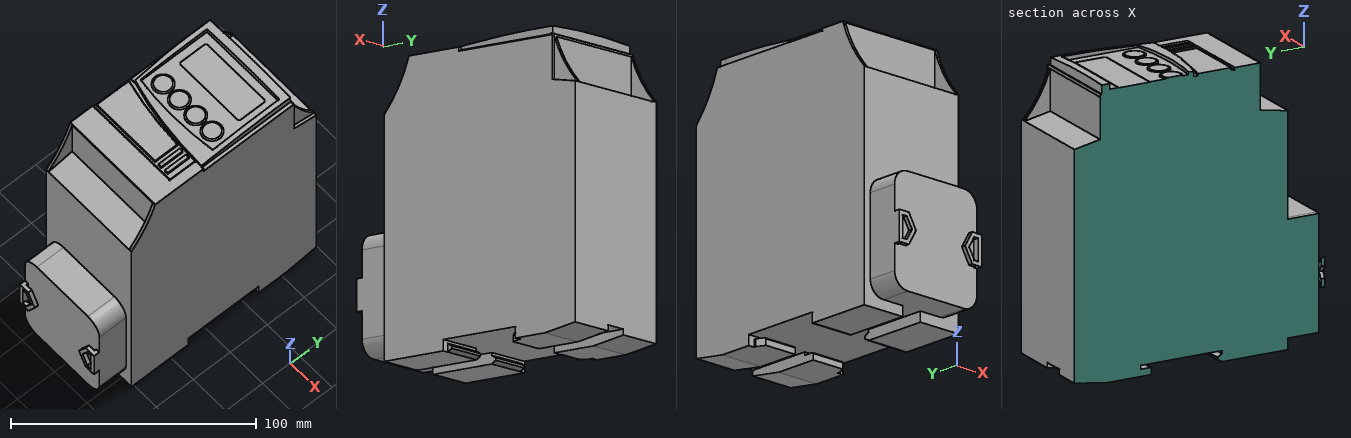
import cadquery as cq
import math

width = 52.7
depth = 100.0
total_height = 129.0
deck_height = 125.7
ledge_height = 124.7
shoulder_height = 103.1
half_width = width / 2
front_deck_y = 12.9
rear_deck_y = 87.6
bevel_drop = 0.8
flank_sag = (1.2, 0.6)
heel_length = 15.7
heel_rise = 2.3

pocket_wall = 1.4
rear_right_wall = 1.4
shelf_front_height = 103.0
shelf_back_height = 105.3
front_pocket_y = 12.8
rear_pocket_y = 88.0

notch_front_y = 31.0
notch_rear_y = 68.8
notch_depth = 4.8
channel_width = 10.0
hook_inset = 3.0
rear_hook_length = 5.0
rear_hook_root = 1.2
rear_hook_taper = 2.0
rear_hook_height = 3.4
rear_hook_chamfer = 0.5
front_hook_length = 2.1
front_hook_height = 3.6
front_hook_flat = 1.0

cover_left = -24.8
cover_right = 24.9
cover_rear_y = 87.2
cover_straight_y = 84.1
cover_left_mid_x = -24.5
cover_front_left = (-23.5, 45.5)
cover_front_mid = (-1.3, 40.8)
cover_front_right = (cover_right, 39.1)
crown_x = -1.3
crown_y = 81.3
crown_radius_across = 335.5
crown_radius_along = 490.4

window_floor = 126.2
window_left = -22.1
window_right = 22.6
window_rear_y = 83.2
window_front_y = 47.4
window_bulge = 2.0
display_left = -18.2
display_right = 18.7
display_front_y = 64.8
display_rear_y = 79.4
display_corner = 1.0
display_depth = 0.1
button_count = 4
button_pitch = 10.1
first_button_x = -15.0
button_y = 53.3
button_radius = 4.8
button_top_radius = 4.0
button_height = 0.4

door_right = 21.4
door_front_y = 25.0
plate_gap = 0.5
plate_side_inset = 0.1
plate_top = 125.0
panel_top = 126.0
panel_left = -25.4
panel_right = 10.6
panel_front_y = 26.6
panel_rear_left_y = 44.0
panel_rear_right_y = 38.7
panel_rear_mid = (-9.0, 40.7)
slat_lefts = (12.6, 16.5)
slat_width = 1.8
slat_rear_y = 38.2

plug_width = 46.0
plug_bottom = notch_depth
plug_top = 56.5
plug_length = 14.5
plug_corner = 7.2
clip_reach = 17.3
clip_gap = 0.9
clip_leg = 2.0
clip_z = (plug_bottom + plug_top) / 2
clip_half_height = 7.0
clip_shoulder = 5.3
clip_tip = 9.3
clip_hole_half_height = 5.0
clip_hole_shoulder = 4.1
clip_hole_tip = 7.1


def box(x0, x1, y0, y1, z0, z1):
    """Axis-aligned block between two opposite corners."""
    return cq.Workplane("XY").box(x1 - x0, y1 - y0, z1 - z0, centered=False).translate((x0, y0, z0))


def side_extrusion(outline, x0, x1):
    """Extrude a closed (Y, Z) outline from x0 to x1."""
    return outline.extrude(x1 - x0).translate((x0, 0, 0))


def housing():
    sag_y, sag_z = flank_sag
    flank_mid_z = (shoulder_height + deck_height) / 2 - sag_z
    rear_mid_z = (shoulder_height + ledge_height) / 2 - sag_z
    outline = (
        cq.Workplane("YZ")
        .moveTo(0, 0)
        .lineTo(0, shoulder_height)
        .threePointArc((front_deck_y / 2 + sag_y, flank_mid_z), (front_deck_y, deck_height))
        .lineTo(rear_deck_y, deck_height)
        .lineTo(rear_deck_y, ledge_height)
        .threePointArc(((rear_deck_y + depth) / 2 - sag_y, rear_mid_z), (depth, shoulder_height))
        .lineTo(depth, heel_rise)
        .lineTo(depth - heel_length, 0)
        .close()
    )
    return side_extrusion(outline, -half_width, half_width)


def terminal_pocket(wall_y, outer_y, x0, x1):
    """Open space above a shelf that slopes down from the wall to the outer face."""
    outline = cq.Workplane("YZ").polyline([
        (wall_y, shelf_back_height),
        (outer_y, shelf_front_height),
        (outer_y, total_height),
        (wall_y, total_height),
    ]).close()
    return side_extrusion(outline, x0, x1)


def cover_edge(sketch):
    """Draw the curved front edge of the cover, left to right."""
    return sketch.threePointArc(cover_front_mid, cover_front_right)


def ledge_cut():
    """Space above the ledge: everything behind the cover's front edge."""
    start = cq.Workplane("XY").moveTo(-half_width, cover_front_left[1]).lineTo(*cover_front_left)
    outline = (
        cover_edge(start)
        .lineTo(half_width, cover_front_right[1])
        .lineTo(half_width, depth)
        .lineTo(-half_width, depth)
        .close()
    )
    return outline.extrude(total_height - ledge_height).translate((0, 0, ledge_height))


def door_recess():
    """Recess for the door; it reaches back under the cover's front edge."""
    return box(-half_width, door_right, door_front_y, cover_front_left[1], ledge_height, total_height)


def right_bevel():
    """Wedge that slopes the ledge down to the right, beside the cover."""
    y0 = cover_front_right[1]
    return (
        cq.Workplane("XZ", origin=(0, y0, 0))
        .polyline([
            (cover_right, ledge_height),
            (half_width, ledge_height - bevel_drop),
            (half_width, ledge_height),
        ])
        .close()
        .extrude(y0 - rear_deck_y)
    )


def dome():
    """Doubly curved solid whose top is the cover's upper surface."""
    drop = crown_radius_across - math.sqrt(crown_radius_across**2 - width**2)
    base = ledge_height - drop
    arch_z = total_height - drop
    profile = (
        cq.Workplane("XZ", origin=(crown_x, crown_y, 0))
        .moveTo(-width, base)
        .lineTo(-width, arch_z)
        .threePointArc((0, total_height), (width, arch_z))
        .lineTo(width, base)
        .close()
    )
    axis_z = total_height - crown_radius_along
    sweep_angle = 20
    ring = profile.revolve(sweep_angle, (0, axis_z, 0), (1, axis_z, 0))
    return ring.rotate((0, crown_y, axis_z), (1, crown_y, axis_z), -sweep_angle / 2)


def cover():
    left_mid = (cover_left_mid_x, (cover_straight_y + cover_front_left[1]) / 2)
    start = (
        cq.Workplane("XY")
        .moveTo(cover_left, cover_rear_y)
        .lineTo(cover_left, cover_straight_y)
        .threePointArc(left_mid, cover_front_left)
    )
    plan = cover_edge(start).lineTo(cover_right, cover_rear_y).close()
    blank = plan.extrude(total_height - ledge_height).translate((0, 0, ledge_height))
    window = (
        cq.Workplane("XY")
        .moveTo(window_left, window_rear_y)
        .lineTo(window_left, window_front_y)
        .threePointArc(
            ((window_left + window_right) / 2, window_front_y - window_bulge),
            (window_right, window_front_y),
        )
        .lineTo(window_right, window_rear_y)
        .close()
        .extrude(total_height)
        .translate((0, 0, window_floor))
    )
    display = box(
        display_left, display_right, display_front_y, display_rear_y,
        window_floor - display_depth, total_height,
    ).edges("|Z").fillet(display_corner)
    return blank.intersect(dome()).cut(window).cut(display)


def button(x):
    """Low conical button standing on the window floor."""
    return cq.Workplane(cq.Solid.makeCone(
        button_radius, button_top_radius, button_height, cq.Vector(x, button_y, window_floor),
    ))


def door_plate():
    """Base plate of the door; its back edge is tucked under the cover."""
    return box(
        -half_width + plate_side_inset, door_right - plate_gap,
        door_front_y + plate_gap, cover_front_left[1], ledge_height, plate_top,
    )


def door_panel():
    """Raised field of the door, with its rear edge following the cover."""
    return (
        cq.Workplane("XY")
        .moveTo(panel_left, panel_front_y)
        .lineTo(panel_left, panel_rear_left_y)
        .threePointArc(panel_rear_mid, (panel_right, panel_rear_right_y))
        .lineTo(panel_right, panel_front_y)
        .close()
        .extrude(panel_top - ledge_height)
        .translate((0, 0, ledge_height))
    )


def rear_hook():
    """Left rear rail hook, tapering toward its tip."""
    outer = -half_width + hook_inset
    inner = -channel_width / 2
    tip_y = notch_rear_y - rear_hook_length
    return (
        cq.Workplane("XY")
        .polyline([
            (inner, notch_rear_y),
            (outer, notch_rear_y),
            (outer, notch_rear_y - rear_hook_root),
            (outer + rear_hook_taper, tip_y),
            (inner, tip_y),
        ])
        .close()
        .extrude(rear_hook_height)
        .faces("<Y").edges(">Z").chamfer(rear_hook_chamfer)
    )


def front_hook():
    """Left front rail hook: a bar with both long edges bevelled."""
    tip_y = notch_front_y + front_hook_length
    middle = front_hook_height / 2
    outline = cq.Workplane("YZ").polyline([
        (notch_front_y, 0),
        (tip_y, middle - front_hook_flat / 2),
        (tip_y, middle + front_hook_flat / 2),
        (notch_front_y, front_hook_height),
    ]).close()
    return side_extrusion(outline, -half_width + hook_inset, -channel_width / 2)


def pentagon(edge_inset, shoulder, tip, half_height, y0, y1):
    """Arrow-shaped plate on the left of the connector, pointing inward."""
    edge = -plug_width / 2
    return (
        cq.Workplane("XZ")
        .polyline([
            (edge + edge_inset, clip_z - half_height),
            (edge + shoulder, clip_z - half_height),
            (edge + tip, clip_z),
            (edge + shoulder, clip_z + half_height),
            (edge + edge_inset, clip_z + half_height),
        ])
        .close()
        .extrude(y1 - y0)
        .translate((0, y1, 0))
    )


def clip():
    """Left clip: an arrow plate held off the connector face by a leg at its edge."""
    edge = -plug_width / 2
    plate_y = -plug_length - clip_gap
    plate = pentagon(0, clip_shoulder, clip_tip, clip_half_height, -clip_reach, plate_y)
    hole = pentagon(
        clip_leg, clip_hole_shoulder, clip_hole_tip, clip_hole_half_height, -clip_reach, plate_y,
    )
    leg = box(
        edge, edge + clip_leg, plate_y, -plug_length,
        clip_z - clip_half_height, clip_z + clip_half_height,
    )
    return plate.cut(hole).union(leg)


def connector():
    body = box(
        -plug_width / 2, plug_width / 2, -plug_length, 0, plug_bottom, plug_top,
    ).edges("|Y").fillet(plug_corner)
    left_clip = clip()
    return body.union(left_clip).union(left_clip.mirror("YZ"))


part = housing()
part = part.cut(terminal_pocket(front_pocket_y, 0, -half_width + pocket_wall, half_width - pocket_wall))
part = part.cut(terminal_pocket(
    rear_pocket_y, depth, -half_width + pocket_wall, cover_right - rear_right_wall,
))
part = part.cut(terminal_pocket(rear_pocket_y, depth, cover_right, half_width))
part = part.cut(ledge_cut()).cut(right_bevel()).cut(door_recess())
part = part.cut(box(-half_width, half_width, notch_front_y, notch_rear_y, 0, notch_depth))
part = part.cut(box(-channel_width / 2, channel_width / 2, 0, depth, 0, notch_depth))

part = part.union(cover())
for index in range(button_count):
    part = part.union(button(first_button_x + index * button_pitch))
part = part.union(door_plate()).union(door_panel())
for slat_left in slat_lefts:
    part = part.union(box(
        slat_left, slat_left + slat_width, panel_front_y, slat_rear_y, ledge_height, panel_top,
    ))
for hook in (rear_hook(), front_hook()):
    part = part.union(hook).union(hook.mirror("YZ"))
result = part.union(connector())